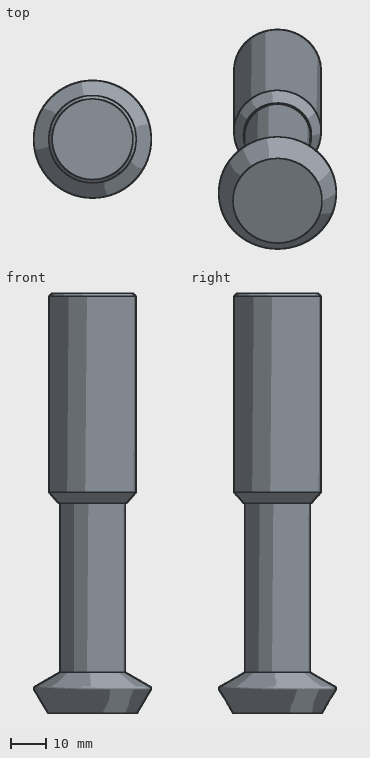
import cadquery as cq

total_height = 120.0

shank_diameter = 18.7
foot_height = 11.8
foot_bottom_diameter = 25.5
rim_diameter = 34.1
rim_height = 7.3
rim_fillet = 0.6

handle_diameter = 25.0
handle_bottom = 60.0
cone_height = 3.1
cone_end_diameter = 19.5
top_chamfer = 1.0


def revolve_outline(outline):
    """Solid of revolution about Z from (radius, height) points."""
    return cq.Workplane("XZ").polyline(outline).close().revolve(360, (0, 0), (0, 1))


def make_stem():
    """Foot with its flat base at Z = 0, and the shank up to the handle."""
    shank_radius = shank_diameter / 2
    stem = revolve_outline([
        (0, 0),
        (foot_bottom_diameter / 2, 0),
        (rim_diameter / 2, rim_height),
        (shank_radius, foot_height),
        (shank_radius, handle_bottom),
        (0, handle_bottom),
    ])
    rim_corner = cq.selectors.BoxSelector(
        (-rim_diameter, -rim_diameter, rim_height - rim_fillet),
        (rim_diameter, rim_diameter, rim_height + rim_fillet),
        boundingbox=True,
    )
    return stem.edges(rim_corner).fillet(rim_fillet).solids()


def make_handle():
    """Cylinder with a cone at its lower end and a chamfer at its top."""
    handle_radius = handle_diameter / 2
    return revolve_outline([
        (0, handle_bottom),
        (cone_end_diameter / 2, handle_bottom),
        (handle_radius, handle_bottom + cone_height),
        (handle_radius, total_height - top_chamfer),
        (handle_radius - top_chamfer, total_height),
        (0, total_height),
    ])


stem = make_stem()
handle = make_handle()

result = cq.Compound.makeCompound([stem.val(), handle.val()])